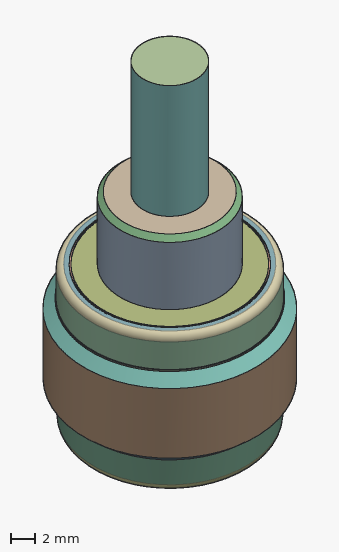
import cadquery as cq

total_height = 38.5
spindle_length = 14.0
bushing_top = total_height - spindle_length
rim_top = 16.8
land_top = 13.2
land_bottom = 13.05
band_top = 12.05
band_bottom = 4.6
lower_collar_top = 3.47

band_radius = 10.5
lower_collar_radius = 9.35
upper_collar_radius = 9.42
land_radius = 9.5
cover_radius = 8.25
bushing_radius = 6.0
spindle_radius = 3.22

base_fillet = 0.8
rim_fillet = 0.65
bushing_chamfer = 0.5

groove_width = 0.15
groove_depth = 0.1


def cylinder(radius, bottom, top):
    return cq.Workplane("XY").workplane(offset=bottom).circle(radius).extrude(top - bottom)


def make_band():
    """Widest part of the housing, with a cone at each end and a narrow land under the upper collar."""
    return (
        cq.Workplane("XZ")
        .moveTo(0, lower_collar_top)
        .lineTo(lower_collar_radius, lower_collar_top)
        .lineTo(band_radius, band_bottom)
        .lineTo(band_radius, band_top)
        .lineTo(land_radius, land_bottom)
        .lineTo(land_radius, land_top)
        .lineTo(0, land_top)
        .close()
        .revolve(360, (0, 0, 0), (0, 1, 0))
    )


def make_lower_collar():
    return cylinder(lower_collar_radius, 0, lower_collar_top).faces("<Z").edges().fillet(base_fillet)


def make_upper_collar():
    collar = cylinder(upper_collar_radius, land_top, rim_top)
    collar = collar.faces(">Z").edges().fillet(rim_fillet)
    groove_bottom = rim_top - groove_depth
    groove = cylinder(cover_radius + groove_width / 2, groove_bottom, rim_top).cut(
        cylinder(cover_radius - groove_width / 2, groove_bottom, rim_top)
    )
    return collar.cut(groove)


def make_bushing():
    return cylinder(bushing_radius, rim_top, bushing_top).faces(">Z").edges().chamfer(bushing_chamfer)


def make_spindle():
    return cylinder(spindle_radius, bushing_top, total_height)


result = (
    make_lower_collar()
    .union(make_band())
    .union(make_upper_collar())
    .union(make_bushing())
    .union(make_spindle())
)